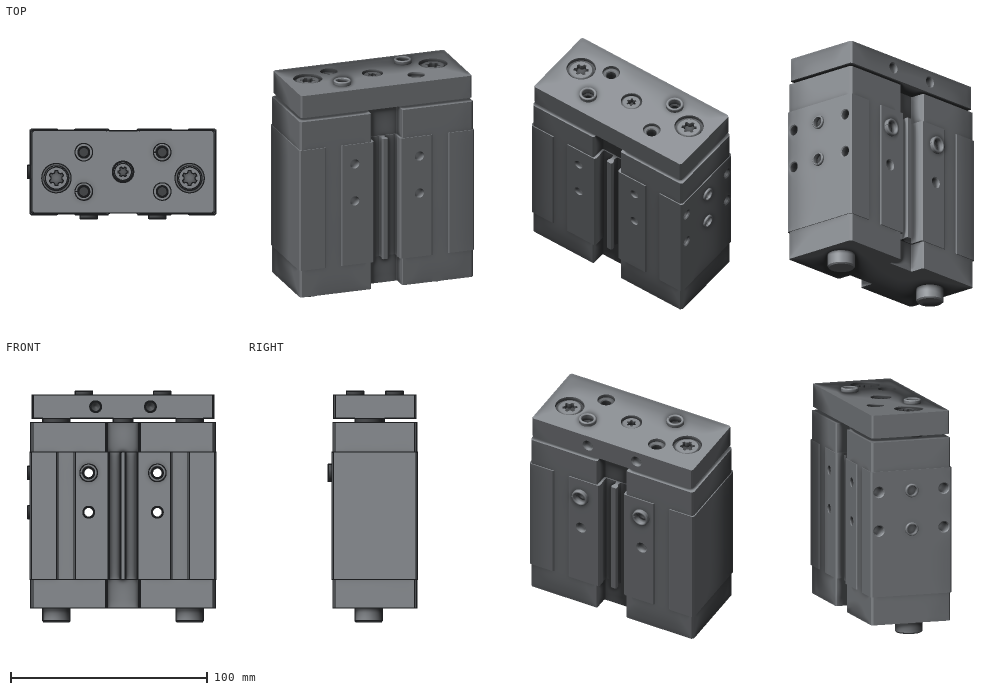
import cadquery as cq
import math

rod_overhang = 7.1
lower_cap_height = 14.6
profile_height = 64.9
upper_cap_height = 15.2
plate_gap = 2.0
plate_height = 11.9

profile_width = 95.0
profile_depth = 43.7
profile_chamfer = 0.8
cap_inset = 0.5
cap_chamfer = 1.1
plate_width = 92.6
plate_depth = 41.9
plate_chamfer = 0.8

profile_bottom = rod_overhang + lower_cap_height
profile_top = profile_bottom + profile_height
cap_top = profile_top + upper_cap_height
plate_bottom = cap_top + plate_gap
plate_top = plate_bottom + plate_height

slot_width = 14.0
slot_depth = 7.8
slot_chamfer = 0.7
cap_slot_width = 16.8
cap_slot_depth = 7.9
cap_slot_chamfer = 0.5

rib_width = 3.2
rib_front = 2.4
rib_chamfer = 0.5
bulge_top = 4.2
rib_bulge = 0.7
wall_bulge = 0.2

strip_offset = 29.0
strip_width = 9.7
strip_depth = 0.5
strip_slope = 0.7

guide_diameter = 14.0
guide_pitch = 67.9
guide_y = -3.2
guide_chamfer = 0.7
piston_diameter = 10.0

guide_recess_diameter = 15.0
guide_head_diameter = 12.6
guide_star_diameter = 7.7
piston_recess_diameter = 11.0
piston_head_diameter = 10.0
piston_star_diameter = 5.1
recess_depth = 2.0
head_depth = 0.8
head_chamfer = 0.7
star_depth = 3.0
star_scoop_ratio = 0.16
star_valley_ratio = 0.72

thread_diameter = 5.0
thread_countersink = 6.0
side_hole_depth = 9.4
drill_tip_angle = 118.0

large_sleeve_diameter = 9.0
large_sleeve_bore = 6.1
large_sleeve_height = 4.0
small_sleeve_diameter = 7.0
small_sleeve_bore = 5.3
small_sleeve_height = 3.0
small_sleeve_seat = 1.6
large_sleeve_seat = 1.9
sleeve_crown = 0.5
sleeve_chamfer = 0.4
sleeve_slit = 0.1

hole_row_pitch = 20.0
front_hole_pitch = 35.0
upper_row_drop = 10.6
plate_hole_pitch = 39.9
plate_front_pitch = 27.9

upper_row_z = profile_top - upper_row_drop
row_levels = [upper_row_z, upper_row_z - hole_row_pitch]
front_face = -profile_depth / 2
left_face = -profile_width / 2


def cylinder(origin, axis, diameter, length):
    """Cylinder from origin along axis."""
    return cq.Workplane(cq.Solid.makeCylinder(diameter / 2, length, cq.Vector(*origin), cq.Vector(*axis)))


def cone(origin, axis, diameter, end_diameter, length):
    """Tapered cylinder from origin along axis."""
    solid = cq.Solid.makeCone(diameter / 2, end_diameter / 2, length, cq.Vector(*origin), cq.Vector(*axis))
    return cq.Workplane(solid)


def countersink(origin, axis):
    """45 degree countersink of a threaded hole."""
    depth = (thread_countersink - thread_diameter) / 2
    return cone(origin, axis, thread_countersink, thread_diameter, depth)


def blind_thread(origin, axis):
    """Countersunk blind hole with a drill tip."""
    tip_height = thread_diameter / 2 / math.tan(math.radians(drill_tip_angle / 2))
    end = (cq.Vector(*origin) + cq.Vector(*axis) * side_hole_depth).toTuple()
    hole = cylinder(origin, axis, thread_diameter, side_hole_depth)
    hole = hole.union(cone(end, axis, thread_diameter, 0, tip_height))
    return hole.union(countersink(origin, axis))


def block(width, depth, bottom, height, chamfer):
    """Upright block centred on the Z axis, with chamfered vertical edges."""
    box = cq.Workplane("XY", origin=(0, 0, bottom)).rect(width, depth).extrude(height)
    return box.edges("|Z").chamfer(chamfer)


def front_cut(points, bottom, height):
    """Prism over an outline of (x, depth below a front face at Y = 0)."""
    return cq.Workplane("XY", origin=(0, 0, bottom)).polyline(points).close().extrude(height)


def front_and_back(cutter, face_y):
    """Cutter moved to the front face, together with its mirror image on the back."""
    front = cutter.translate((0, face_y, 0))
    return front.union(front.mirror("XZ"))


def guide_bores(bottom, height):
    """Two guide rod cylinders over a stretch of Z."""
    rods = [
        cylinder((side * guide_pitch / 2, guide_y, bottom), (0, 0, 1), guide_diameter, height)
        for side in (-1, 1)
    ]
    return rods[0].union(rods[1])


def sensor_groove():
    """Right half of the profile slot: a groove beside the rib, with bulging sides and a flat floor."""
    wall = slot_width / 2
    rib = rib_width / 2
    bulge_middle = (bulge_top + slot_depth) / 2
    outline = (
        cq.Workplane("XY", origin=(0, 0, profile_bottom))
        .moveTo(0, 0)
        .lineTo(0, rib_front)
        .lineTo(rib - rib_chamfer, rib_front)
        .lineTo(rib, rib_front + rib_chamfer)
        .lineTo(rib, bulge_top)
        .threePointArc((rib - rib_bulge, bulge_middle), (rib, slot_depth))
        .lineTo(wall, slot_depth)
        .threePointArc((wall + wall_bulge, bulge_middle), (wall, bulge_top))
        .lineTo(wall, slot_chamfer)
        .lineTo(wall + slot_chamfer, 0)
        .close()
    )
    return outline.extrude(profile_height)


def profile_slot():
    """Both grooves of one slot, on either side of the rib."""
    groove = sensor_groove()
    return groove.union(groove.mirror("YZ"))


def side_strips():
    """Two shallow strips with sloping sides."""
    half = strip_width / 2
    points = [(-half, 0), (-half + strip_slope, strip_depth), (half - strip_slope, strip_depth), (half, 0)]
    strip = front_cut(points, profile_bottom, profile_height)
    left = strip.translate((-strip_offset, 0, 0))
    return left.union(strip.translate((strip_offset, 0, 0)))


def make_profile():
    body = block(profile_width, profile_depth, profile_bottom, profile_height, profile_chamfer)
    body = body.cut(front_and_back(profile_slot(), front_face))
    body = body.cut(front_and_back(side_strips(), front_face))
    body = body.cut(guide_bores(profile_bottom, profile_height))
    for z in row_levels:
        for side in (-1, 1):
            offset = side * front_hole_pitch / 2
            front_point = (offset, front_face, z)
            body = body.cut(cylinder(front_point, (0, 1, 0), thread_diameter, profile_depth))
            if z == upper_row_z:
                seat = cylinder(front_point, (0, 1, 0), large_sleeve_diameter, large_sleeve_seat)
                body = body.cut(seat)
            else:
                body = body.cut(countersink(front_point, (0, 1, 0)))
            body = body.cut(blind_thread((left_face, offset, z), (1, 0, 0)))
        body = body.cut(cylinder((left_face, 0, z), (1, 0, 0), small_sleeve_diameter, small_sleeve_seat))
    return body


def cap_slot(bottom, height):
    """Slot with a chamfered mouth and chamfered floor corners, cut from a front face at Y = 0."""
    half = cap_slot_width / 2
    right_side = [
        (half - cap_slot_chamfer, cap_slot_depth),
        (half, cap_slot_depth - cap_slot_chamfer),
        (half, cap_slot_chamfer),
        (half + cap_slot_chamfer, 0),
    ]
    left_side = [(-x, depth) for x, depth in reversed(right_side)]
    return front_cut(left_side + right_side, bottom, height)


def make_cap(bottom, height):
    width = profile_width - 2 * cap_inset
    depth = profile_depth - 2 * cap_inset
    body = block(width, depth, bottom, height, cap_chamfer)
    body = body.cut(front_and_back(cap_slot(bottom, height), -depth / 2))
    return body.cut(guide_bores(bottom, height))


def star_socket(tip_diameter, length):
    """Six-lobed screw socket: a round bar with six scoops, going down from Z = 0."""
    bar = cq.Workplane("XY").circle(tip_diameter / 2).extrude(-length)
    scoop_radius = tip_diameter * star_scoop_ratio
    scoop_centre = tip_diameter * star_valley_ratio / 2 + scoop_radius
    scoops = cq.Workplane("XY").polarArray(scoop_centre, 0, 360, 6).circle(scoop_radius).extrude(-length)
    return bar.cut(scoops)


def cut_screw_end(body, x, y, recess_diameter, head_diameter, socket):
    """Leave a chamfered screw head with a star socket in a round recess of the plate."""
    recess = cylinder((x, y, plate_top), (0, 0, -1), recess_diameter, recess_depth)
    head_height = recess_depth - head_depth
    head = cylinder((x, y, plate_top - recess_depth), (0, 0, 1), head_diameter, head_height)
    head = head.faces(">Z").edges().chamfer(head_chamfer)
    return body.cut(recess.cut(head)).cut(socket.translate((x, y, plate_top - head_depth)))


def make_slide():
    body = block(plate_width, plate_depth, plate_bottom, plate_height, plate_chamfer)

    rods = guide_bores(0, plate_bottom).faces("<Z").edges().chamfer(guide_chamfer)
    piston = cylinder((0, 0, profile_top), (0, 0, 1), piston_diameter, plate_bottom - profile_top)
    body = body.union(rods).union(piston)

    guide_socket = star_socket(guide_star_diameter, star_depth)
    for side in (-1, 1):
        x = side * guide_pitch / 2
        body = cut_screw_end(body, x, guide_y, guide_recess_diameter, guide_head_diameter, guide_socket)
    piston_socket = star_socket(piston_star_diameter, star_depth).rotate((0, 0, 0), (0, 0, 1), 90)
    body = cut_screw_end(body, 0, 0, piston_recess_diameter, piston_head_diameter, piston_socket)

    for side_x in (-1, 1):
        for side_y in (-1, 1):
            x = side_x * plate_hole_pitch / 2
            y = side_y * hole_row_pitch / 2
            seat_floor = plate_top - large_sleeve_seat
            body = body.cut(cylinder((x, y, plate_top), (0, 0, -1), thread_diameter, plate_height))
            body = body.cut(cylinder((x, y, plate_top), (0, 0, -1), large_sleeve_diameter, large_sleeve_seat))
            body = body.cut(countersink((x, y, seat_floor), (0, 0, -1)))

    for side in (-1, 1):
        origin = (side * plate_front_pitch / 2, -plate_depth / 2, plate_bottom + plate_height / 2)
        body = body.cut(blind_thread(origin, (0, 1, 0)))
    return body


def cut_slit(ring, diameter, height):
    """Slit a ring, standing on the XY plane, at its seam and turn the slit to the -X side."""
    slit = cq.Workplane("XY").center(diameter / 2, 0).rect(diameter, sleeve_slit).extrude(height)
    return ring.cut(slit).rotate((0, 0, 0), (0, 0, 1), 180)


def make_large_sleeve():
    """Slit ring with rounded ends, standing on the XY plane."""
    outer = large_sleeve_diameter / 2
    inner = large_sleeve_bore / 2
    middle = (outer + inner) / 2
    shoulder = large_sleeve_height - sleeve_crown
    section = (
        cq.Workplane("XZ")
        .moveTo(inner, sleeve_crown)
        .threePointArc((middle, 0), (outer, sleeve_crown))
        .lineTo(outer, shoulder)
        .threePointArc((middle, large_sleeve_height), (inner, shoulder))
        .close()
    )
    ring = section.revolve(360, (0, 0, 0), (0, 1, 0))
    return cut_slit(ring, large_sleeve_diameter, large_sleeve_height)


def make_small_sleeve():
    """Slit ring with chamfered outer edges, standing on the XY plane."""
    ring = cq.Workplane("XY").circle(small_sleeve_diameter / 2).extrude(small_sleeve_height)
    ring = ring.edges().chamfer(sleeve_chamfer)
    ring = ring.cut(cylinder((0, 0, 0), (0, 0, 1), small_sleeve_bore, small_sleeve_height))
    return cut_slit(ring, small_sleeve_diameter, small_sleeve_height)


def make_plate_sleeve(x, y):
    sleeve = make_large_sleeve()
    return sleeve.translate((x, y, plate_top - large_sleeve_seat))


def make_front_sleeve(x):
    sleeve = make_large_sleeve()
    sleeve = sleeve.rotate((0, 0, 0), (1, 0, 0), 90)
    return sleeve.translate((x, front_face + large_sleeve_seat, upper_row_z))


def make_side_sleeve(z):
    sleeve = make_small_sleeve()
    sleeve = sleeve.rotate((0, 0, 0), (0, 1, 0), -90)
    return sleeve.translate((left_face + small_sleeve_seat, 0, z))


profile = make_profile()
lower_cap = make_cap(rod_overhang, lower_cap_height)
upper_cap = make_cap(profile_top, upper_cap_height)
upper_cap = upper_cap.cut(cylinder((0, 0, profile_top), (0, 0, 1), piston_diameter, upper_cap_height))
slide = make_slide()
plate_sleeves = [
    make_plate_sleeve(side * plate_hole_pitch / 2, side * hole_row_pitch / 2) for side in (-1, 1)
]
front_sleeves = [make_front_sleeve(side * front_hole_pitch / 2) for side in (-1, 1)]
side_sleeves = [make_side_sleeve(z) for z in row_levels]

bodies = [profile, lower_cap, upper_cap, slide, *plate_sleeves, *front_sleeves, *side_sleeves]
result = cq.Compound.makeCompound([body.val() for body in bodies])